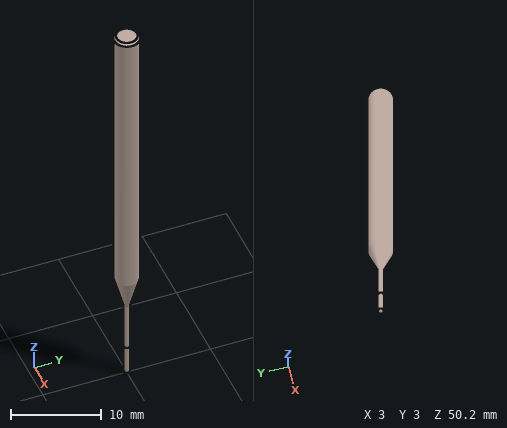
import cadquery as cq
import math

total_length = 50.16
shank_diameter = 3.0

drill_diameter = 0.72
point_height = 0.16
cutter_length = 3.9

neck_length = 6.0
taper_half_angle = 15.0
chamfer_size = 0.3

drill_radius = drill_diameter / 2
shank_radius = shank_diameter / 2
neck_top = cutter_length + neck_length
taper_length = (shank_radius - drill_radius) / math.tan(math.radians(taper_half_angle))
taper_top = neck_top + taper_length


def turned_body(half_profile):
    """Revolve a closed outline of (radius, height) points around the Z axis."""
    outline = cq.Workplane("XZ").polyline(half_profile).close()
    return outline.revolve(360, (0, 0), (0, 1))


cutter = turned_body([
    (0, 0),
    (drill_radius, point_height),
    (drill_radius, cutter_length),
    (0, cutter_length),
])

shank = turned_body([
    (0, cutter_length),
    (drill_radius, cutter_length),
    (drill_radius, neck_top),
    (shank_radius, taper_top),
    (shank_radius, total_length - chamfer_size),
    (shank_radius - chamfer_size, total_length),
    (0, total_length),
])

result = cq.Compound.makeCompound([cutter.val(), shank.val()])